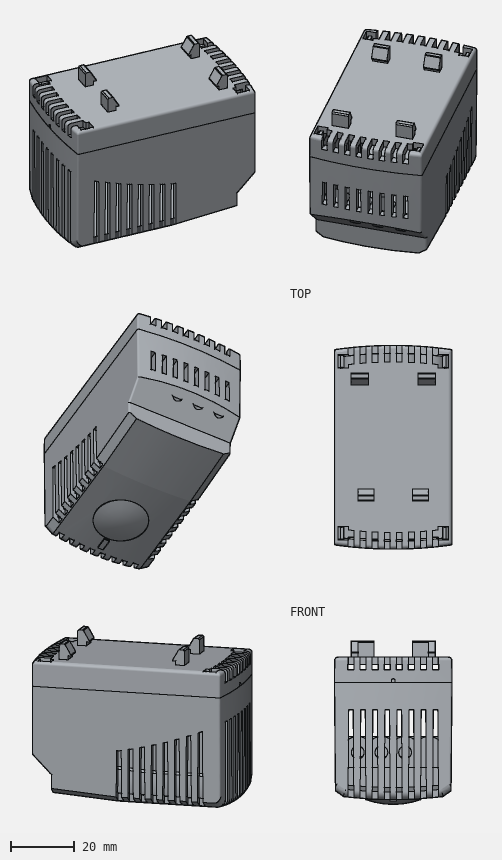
import cadquery as cq
import math

width = 37.0
length = 64.07
end_radius = 129.0
draft = 0.5
seam_z = -8.0
corner_radius = 0.6

side_wall = 2.0
end_wall = 2.5
floor_thickness = 2.4
cavity_half_width = width / 2 - side_wall
cavity_half_length = length / 2 - end_wall

floor_z = -44.8
floor_arch_radius = 140.0
floor_bend_y = 3.1
floor_slope = 3.9
floor_edge_radius = 2.2
bevel_start_x = 15.6
bevel_rise = 0.72

step_y = 24.65
step_top_z = -36.2
step_wall_thickness = 2.0
back_face_thickness = 2.5

cable_hole_diameter = 4.0
cable_sleeve_radius = 5.0
cable_z = -30.0
cable_pitch = 7.43
cable_count = 4
open_cable_count = 3
sleeve_face_y = 22.15
sleeve_block_bottom_z = -34.7

slot_count = 8
slot_pitch = 3.8
slot_width = 1.85
end_slot_top_z = -16.6
back_slot_bottom_z = -25.0
floor_slot_depth = 3.0
side_slot_first_y = 2.4
side_slot_heights = [(2.4, -27.1), (-11.0, -24.0), (-24.3, -19.5)]

dial_radius = 8.75
dial_y = -13.9
dial_bottom_z = -46.38
pointer_size = (1.9, 4.2, 0.5)
pointer_y = -25.1

plate_thickness = 2.4
cover_edge_radius = 1.15
cover_slot_bottom_z = -4.0
cover_slot_reach = 5.25
seam_notch_width = 1.2
seam_notch_height = 1.15
seam_notch_depth = 0.6

window_x = (14.05, 17.35)
window_y = (24.9, 29.1)
hook_x = 15.5
hook_top_z = -1.5
hook_seat_z = -5.0
hook_root_z = -14.0
hook_clearance = 0.2

clip_height = 5.0
clip_barb_z = 1.3
clip_barb_edge = 0.3
clip_barb_reach = 0.95
clip_stem = 2.9
clip_top_depth = 1.95
clip_edge_chamfer = 0.4
clip_tip_bevel = (0.3, 0.15)
back_clip = dict(outer_y=23.4, inward=-1, center_x=10.5, clip_width=5.45)
front_clip = dict(outer_y=-16.95, inward=1, center_x=8.5, clip_width=5.0)

slot_xs = [(i - (slot_count - 1) / 2) * slot_pitch for i in range(slot_count)]
cable_xs = [(i - (cable_count - 1) / 2) * cable_pitch for i in range(cable_count)]
side_slot_ys = [side_slot_first_y - i * slot_pitch for i in range(slot_count)]
draft_slope = math.tan(math.radians(draft))
beyond = 10.0


def box(x_range, y_range, z_range):
    """Solid block between two limits on each axis."""
    sizes = [high - low for low, high in (x_range, y_range, z_range)]
    corner = (x_range[0], y_range[0], z_range[0])
    return cq.Workplane("XY").box(*sizes, centered=False).translate(corner)


def bowed_outline(plane, half_width, half_length, radius):
    """Rectangle with straight sides and outward bowed ends."""
    sag = radius - math.sqrt(radius**2 - half_width**2)
    corner_y = half_length - sag
    return (
        plane.moveTo(-half_width, -corner_y)
        .threePointArc((0, -half_length), (half_width, -corner_y))
        .lineTo(half_width, corner_y)
        .threePointArc((0, half_length), (-half_width, corner_y))
        .close()
    )


def bowed_prism(inset_x, inset_y, bottom_z, top_z):
    """Upright prism following the case outline at an inset."""
    plane = cq.Workplane("XY").workplane(offset=bottom_z)
    outline = bowed_outline(plane, width / 2 - inset_x, length / 2 - inset_y, end_radius - inset_y)
    return outline.extrude(top_z - bottom_z)


def drafted_block(low_z, high_z):
    """Outer block between two heights; its sides lean in away from the parting line."""
    def half(z):
        return width / 2 - abs(z - seam_z) * draft_slope

    sides = [(half(z), z) for z in (low_z, seam_z, high_z) if low_z <= z <= high_z]
    sides = sorted(set(sides), key=lambda point: point[1])
    mirrored = [(-x, z) for x, z in reversed(sides)]
    wedge = cq.Workplane("XZ", origin=(0, length, 0)).polyline(sides + mirrored).close().extrude(2 * length)
    return bowed_prism(0, 0, low_z, high_z).intersect(wedge)


def edges_where(body, condition):
    """Edges whose middle point meets a condition."""
    return body.newObject([edge for edge in body.edges().vals() if condition(edge.Center())])


def is_upright_corner(point):
    """True for the middle of an upright edge between a side and an end wall."""
    return abs(point.x) > width / 2 - 1 and abs(point.y) > length / 2 - 2.5


def upright_slot(bottom_z, top_z):
    """Slot profile in a vertical plane, narrowing upward by the draft angle."""
    def half(z):
        return slot_width / 2 - (z - floor_z) * draft_slope

    return [
        (-half(bottom_z), bottom_z),
        (half(bottom_z), bottom_z),
        (half(top_z), top_z),
        (-half(top_z), top_z),
    ]


def above_floor(lift):
    """Space above the arched floor surface, raised by lift, with its sloping back part."""
    low = floor_z + lift
    arch_z = low + floor_arch_radius - math.sqrt(floor_arch_radius**2 - bevel_start_x**2)
    far_x = bevel_start_x + beyond
    far_z = arch_z + beyond * bevel_rise
    arch = (
        cq.Workplane("XZ", origin=(0, length, 0))
        .moveTo(-bevel_start_x, arch_z)
        .threePointArc((0, low), (bevel_start_x, arch_z))
        .lineTo(far_x, far_z)
        .lineTo(far_x, beyond)
        .lineTo(-far_x, beyond)
        .lineTo(-far_x, far_z)
        .close()
        .extrude(2 * length)
    )
    pivot = (0, floor_bend_y, low)
    sloped = arch.rotate(pivot, (1, floor_bend_y, low), floor_slope)
    return arch.intersect(sloped)


def behind_step(offset_step, offset_face):
    """Space outside the back step and the 45 degree face, both moved inward."""
    y = step_y - offset_step
    z = step_top_z + offset_face * math.sqrt(2) - offset_step
    rise = length / 2 + beyond - y
    return (
        cq.Workplane("YZ", origin=(-width, 0, 0))
        .polyline([(y, floor_z - beyond), (y, z), (y + rise, z + rise), (y + rise, floor_z - beyond)])
        .close()
        .extrude(2 * width)
    )


def housing_outside():
    block = drafted_block(floor_z - beyond, seam_z)
    block = block.intersect(above_floor(0)).cut(behind_step(0, 0))

    def is_front_floor_edge(point):
        return point.y < -length / 2 + 2 and point.z < floor_z + 4

    def is_side_edge(point):
        upright = is_upright_corner(point) and floor_z + 4 < point.z
        back = abs(point.x) > width / 2 - 1 and point.y > step_y - 0.1 and point.z > floor_z + 4
        return upright or back

    floor_rounded = edges_where(block, is_front_floor_edge).fillet(floor_edge_radius)
    sides_rounded = edges_where(block, is_side_edge).fillet(corner_radius)
    return floor_rounded.intersect(sides_rounded)


def housing_cavity():
    cavity = bowed_prism(side_wall, end_wall, floor_z, seam_z)
    return cavity.intersect(above_floor(floor_thickness)).cut(
        behind_step(step_wall_thickness, back_face_thickness)
    )


def along_back(xs, radius):
    """Round bars along Y through the cable positions, from the sleeve face to the back wall."""
    return (
        cq.Workplane("XZ", origin=(0, cavity_half_length, 0))
        .pushPoints([(x, cable_z) for x in xs])
        .circle(radius)
        .extrude(cavity_half_length - sleeve_face_y)
    )


def sleeve_block():
    """Row of round-topped cable sleeves filling the case above the 45 degree back face."""
    half = cable_xs[-1] + cable_sleeve_radius
    base = box((-half, half), (sleeve_face_y, cavity_half_length), (sleeve_block_bottom_z, cable_z))
    block = base
    for x in cable_xs:
        crown = along_back([x], cable_sleeve_radius)
        block = block.union(crown.intersect(box((-width, width), (0, length), (cable_z - 1, 0))))
    return block.cut(behind_step(0, 0))


def end_slots():
    """Front slots running out through the floor, and the short back slots."""
    front = upright_slot(floor_z - 1, end_slot_top_z)
    back = upright_slot(back_slot_bottom_z, end_slot_top_z)
    cutters = cq.Workplane("XY")
    for x in slot_xs:
        bow = end_radius - math.sqrt(end_radius**2 - x**2)
        start = (x, -length / 2 + bow + floor_slot_depth, 0)
        cutters = cutters.add(cq.Workplane("XZ", origin=start).polyline(front).close().extrude(beyond))
        start = (x, length / 2 + 1, 0)
        cutters = cutters.add(cq.Workplane("XZ", origin=start).polyline(back).close().extrude(end_wall + 4))
    return cutters


def side_slots():
    """Slots in both side walls; their tops follow one rising arc."""
    (start, middle, end) = side_slot_heights
    low = floor_z - 1
    below_arc = (
        cq.Workplane("YZ", origin=(-width, 0, 0))
        .moveTo(start[0] + beyond, low)
        .lineTo(start[0] + beyond, start[1])
        .lineTo(*start)
        .threePointArc(middle, end)
        .lineTo(end[0] - 1, end[1] + 0.4)
        .lineTo(end[0] - 1, low)
        .close()
        .extrude(2 * width)
    )
    profile = upright_slot(low, -10)
    cutters = cq.Workplane("XY")
    for y in side_slot_ys:
        for x in (-width / 2 - 1, cavity_half_width - 0.5):
            cutters = cutters.add(
                cq.Workplane("YZ", origin=(x, y, 0)).polyline(profile).close().extrude(side_wall + 1.5)
                .intersect(below_arc)
            )
    return cutters


def dial():
    """Shallow dome on a round base, sunk into the floor."""
    base_z = floor_z + floor_thickness / 2
    cap = floor_z - dial_bottom_z
    sphere = (dial_radius**2 + cap**2) / (2 * cap)
    mid_x = dial_radius / 2
    mid_z = dial_bottom_z + sphere - math.sqrt(sphere**2 - mid_x**2)
    return (
        cq.Workplane("XZ", origin=(0, dial_y, 0))
        .moveTo(0, base_z)
        .lineTo(dial_radius, base_z)
        .lineTo(dial_radius, floor_z)
        .threePointArc((mid_x, mid_z), (0, dial_bottom_z))
        .close()
        .revolve(360, (0, 0, 0), (0, 1, 0))
    )


def pointer():
    """Raised mark under the floor, in front of the dial."""
    size_x, size_y, drop = pointer_size
    return box(
        (-size_x / 2, size_x / 2),
        (pointer_y - size_y / 2, pointer_y + size_y / 2),
        (floor_z - drop, floor_z + 1),
    )


def snap_hook():
    """Hook on the +X wall at the back: stem, flat tip and sloped barb on its seat."""
    barb_x = window_x[1]
    stem_x = cavity_half_width
    barb_z = hook_top_z - (barb_x - stem_x)
    start = window_y[0] + hook_clearance
    depth = window_y[1] - window_y[0] - 2 * hook_clearance
    return (
        cq.Workplane("XZ", origin=(0, start + depth, 0))
        .polyline([
            (hook_x, hook_root_z),
            (hook_x, hook_top_z),
            (stem_x, hook_top_z),
            (barb_x, barb_z),
            (barb_x, hook_seat_z),
            (stem_x, hook_seat_z),
            (stem_x, hook_root_z),
        ])
        .close()
        .extrude(depth)
    )


def four_corners(shape):
    """The shape and its mirror images in all four corners."""
    across = shape.mirror("YZ")
    return [shape, across, shape.mirror("XZ"), across.mirror("XZ")]


def make_housing():
    body = housing_outside().cut(housing_cavity()).union(sleeve_block())
    body = body.cut(along_back(cable_xs[:open_cable_count], cable_hole_diameter / 2))
    for cutters in (end_slots(), side_slots()):
        for cutter in cutters.vals():
            body = body.cut(cq.Workplane(cutter))
    body = body.union(dial()).union(pointer())
    for hook in four_corners(snap_hook()):
        body = body.union(hook)
    return body


def cover_slots():
    """Slots over both ends of the plate, their inner ends following the bow."""
    band = bowed_prism(-1, -1, cover_slot_bottom_z, 1).cut(
        bowed_prism(0, cover_slot_reach, cover_slot_bottom_z, 1)
    )
    half = slot_width / 2
    strips = [box((x - half, x + half), (-length, length), (-beyond, beyond)) for x in slot_xs]
    return [band.intersect(strip) for strip in strips]


def seam_notch():
    """Small round-topped notch at the middle of the front parting line."""
    half = seam_notch_width / 2
    shoulder_z = seam_z + seam_notch_height - half
    return (
        cq.Workplane("XZ", origin=(0, -length / 2 + seam_notch_depth, 0))
        .moveTo(-half, seam_z)
        .lineTo(half, seam_z)
        .lineTo(half, shoulder_z)
        .threePointArc((0, shoulder_z + half), (-half, shoulder_z))
        .close()
        .extrude(beyond)
    )


def clip(outer_y, inward, center_x, clip_width):
    """Rail clip: upright stem with a barb facing the middle of the plate."""
    def y(depth):
        return outer_y + inward * depth

    barb = clip_stem + clip_barb_reach
    profile = [
        (y(0), -plate_thickness / 2),
        (y(0), clip_height - clip_edge_chamfer),
        (y(clip_edge_chamfer), clip_height),
        (y(clip_top_depth - clip_tip_bevel[0]), clip_height),
        (y(clip_top_depth), clip_height - clip_tip_bevel[1]),
        (y(barb), clip_barb_z + clip_barb_edge),
        (y(barb), clip_barb_z),
        (y(clip_stem), clip_barb_z),
        (y(clip_stem), -plate_thickness / 2),
    ]
    start = (center_x - clip_width / 2, 0, 0)
    return cq.Workplane("YZ", origin=start).polyline(profile).close().extrude(clip_width)


def make_cover():
    body = edges_where(drafted_block(seam_z, 0), is_upright_corner).fillet(corner_radius)
    body = body.faces(">Z").edges().fillet(cover_edge_radius)
    body = body.cut(bowed_prism(side_wall, end_wall, seam_z, -plate_thickness))
    for slot in cover_slots():
        body = body.cut(slot)
    for window in four_corners(box(window_x, window_y, (hook_seat_z, 1))):
        body = body.cut(window)
    body = body.cut(seam_notch())
    for shape in (clip(**back_clip), clip(**front_clip)):
        body = body.union(shape).union(shape.mirror("YZ"))
    return body


housing = make_housing()
cover = make_cover()
result = cq.Compound.makeCompound([housing.val(), cover.val()])